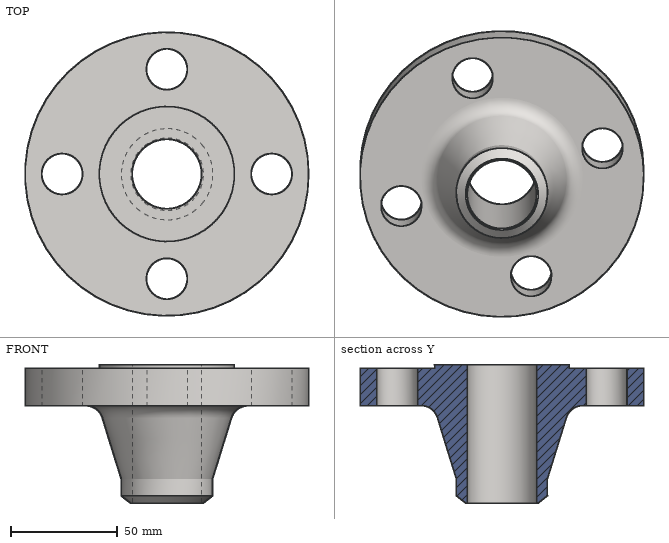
import cadquery as cq

TOTAL_HEIGHT = 65.1
FLANGE_RADIUS = 66.7
FLANGE_THICKNESS = 17.7
FACE_RADIUS = 31.7
FACE_HEIGHT = 1.6

HUB_RADIUS = 32.1
NECK_RADIUS = 21.5
NECK_BOTTOM = 3.5
NECK_TOP = 11.3
END_RADIUS = 17.1
HUB_FILLET = 7.9

BORE_RADIUS = 16.3
BOLT_CIRCLE_RADIUS = 49.2
BOLT_HOLE_DIAMETER = 19.1
BOLT_COUNT = 4

SELECT_MARGIN = 1.3

FACE_BOTTOM = TOTAL_HEIGHT - FACE_HEIGHT
FLANGE_BOTTOM = FACE_BOTTOM - FLANGE_THICKNESS


def make_body():
    """Revolve the half section, bore included, about Z."""
    section = [
        (BORE_RADIUS, 0),
        (END_RADIUS, 0),
        (NECK_RADIUS, NECK_BOTTOM),
        (NECK_RADIUS, NECK_TOP),
        (HUB_RADIUS, FLANGE_BOTTOM),
        (FLANGE_RADIUS, FLANGE_BOTTOM),
        (FLANGE_RADIUS, FACE_BOTTOM),
        (FACE_RADIUS, FACE_BOTTOM),
        (FACE_RADIUS, TOTAL_HEIGHT),
        (BORE_RADIUS, TOTAL_HEIGHT),
    ]
    return cq.Workplane("XZ").polyline(section).close().revolve(360, (0, 0), (0, 1))


def round_hub_root(body):
    """Fillet the inside corner where the hub meets the flange underside."""
    at_underside = cq.selectors.BoxSelector(
        (-FLANGE_RADIUS, -FLANGE_RADIUS, FLANGE_BOTTOM - SELECT_MARGIN),
        (FLANGE_RADIUS, FLANGE_RADIUS, FLANGE_BOTTOM + SELECT_MARGIN),
    )
    smallest_circle = cq.selectors.RadiusNthSelector(0)
    root = body.edges("%CIRCLE").edges(at_underside).edges(smallest_circle)
    return root.fillet(HUB_FILLET)


def drill_bolt_holes(body):
    return (
        body.faces(">Z")
        .workplane(origin=(0, 0, TOTAL_HEIGHT))
        .polarArray(BOLT_CIRCLE_RADIUS, 0, 360, BOLT_COUNT)
        .hole(BOLT_HOLE_DIAMETER)
    )


result = drill_bolt_holes(round_hub_root(make_body()))